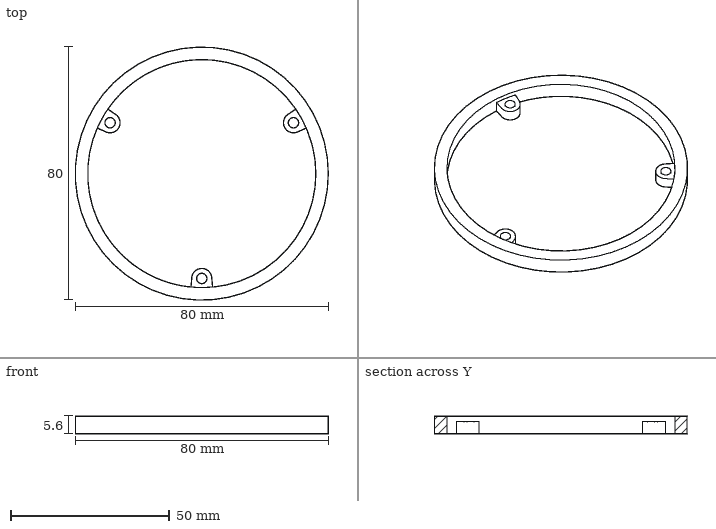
import cadquery as cq
import math

outer_diameter = 80.0
inner_diameter = 72.0
ring_height = 5.6

lug_recess = 1.7
lug_height = ring_height - lug_recess
upper_lug_angle = 29
lug_angles = (upper_lug_angle, 180 - upper_lug_angle, 270)
lug_center_radius = 33.1
lug_tip_radius = 3.2
lug_taper = 5.0
hole_diameter = 3.2

lug_root_radius = (outer_diameter + inner_diameter) / 4


def make_ring():
    return (
        cq.Workplane("XY")
        .circle(outer_diameter / 2)
        .circle(inner_diameter / 2)
        .extrude(ring_height)
    )


def make_lug(angle):
    """Lug with a round tip and flared sides, pointing from the ring to its center."""
    taper = math.radians(lug_taper)
    tangent_x = lug_center_radius - lug_tip_radius * math.sin(taper)
    tangent_y = lug_tip_radius * math.cos(taper)
    root_y = tangent_y + (lug_root_radius - tangent_x) * math.tan(taper)
    tip_x = lug_center_radius - lug_tip_radius
    return (
        cq.Workplane("XY")
        .moveTo(lug_root_radius, -root_y)
        .lineTo(tangent_x, -tangent_y)
        .threePointArc((tip_x, 0), (tangent_x, tangent_y))
        .lineTo(lug_root_radius, root_y)
        .close()
        .extrude(lug_height)
        .rotate((0, 0, 0), (0, 0, 1), angle)
    )


def make_lug_holes():
    points = [
        (
            lug_center_radius * math.cos(math.radians(angle)),
            lug_center_radius * math.sin(math.radians(angle)),
        )
        for angle in lug_angles
    ]
    return cq.Workplane("XY").pushPoints(points).circle(hole_diameter / 2).extrude(lug_height)


result = make_ring()
for lug_angle in lug_angles:
    result = result.union(make_lug(lug_angle))
result = result.cut(make_lug_holes())